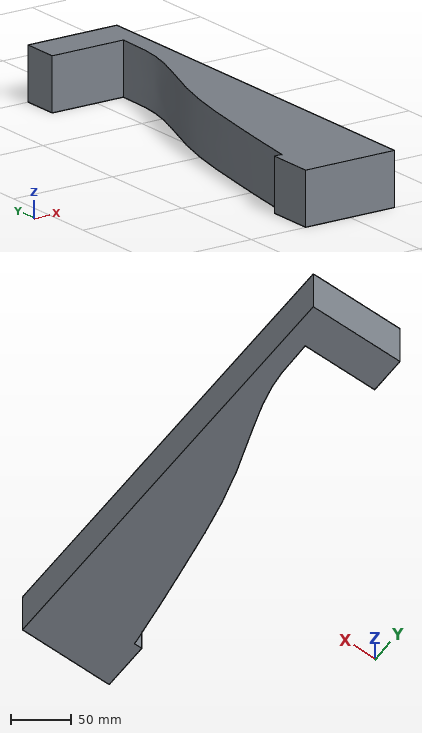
import cadquery as cq

width = 90.0
length = 400.0
thickness = 50.0

foot_length = 45.0
arm_length = 35.0
arm_start = length - arm_length

foot_step = 7.5
neck_width = 18.0
neck_edge = width - neck_width

curve_points = [
    (neck_edge, arm_start),
    (69.8, 318.0),
    (50.5, 255.0),
    (35.0, 205.0),
    (19.7, 125.0),
    (foot_step, foot_length),
]

neck_end_direction = (0.0, -1.0)
foot_end_direction = (-0.14, -1.0)


def body_outline():
    """Closed outline in the XY plane, starting at the foot's outer corner."""
    return (
        cq.Workplane("XY")
        .moveTo(0, 0)
        .lineTo(width, 0)
        .lineTo(width, length)
        .lineTo(0, length)
        .lineTo(0, arm_start)
        .lineTo(neck_edge, arm_start)
        .spline(
            curve_points[1:],
            tangents=[neck_end_direction, foot_end_direction],
            includeCurrent=True,
        )
        .lineTo(0, foot_length)
        .close()
    )


result = body_outline().extrude(thickness)